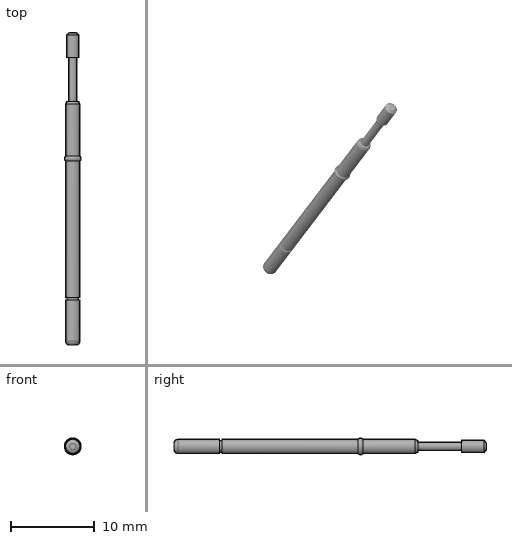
import cadquery as cq
import math

total_length = 37.3
tip_y = total_length / 2
tail_y = -total_length / 2

head_radius = 0.75
head_length = 3.0
tip_flat_radius = 0.4
tip_chamfer_length = 0.3
stem_diameter = 1.0
stem_radius = stem_diameter / 2
head_back_y = tip_y - head_length

barrel_radius = 0.85
mouth_radius = 0.7
mouth_taper_length = 0.35
plunger_length = 8.2
barrel_front_y = tip_y - plunger_length

ring_radius = 1.0
ring_width = 0.6
tip_to_ring = 15.05
ring_center_y = tip_y - tip_to_ring
ring_front_y = ring_center_y + ring_width / 2
ring_back_y = ring_center_y - ring_width / 2

groove_radius = 0.7
groove_width = 0.3
tip_to_groove = 31.6
groove_front_y = tip_y - tip_to_groove
groove_back_y = groove_front_y - groove_width
tail_round = 0.5
tail_round_center_y = tail_y + tail_round
tail_flat_radius = barrel_radius - tail_round
tail_arc_offset = tail_round * math.sqrt(0.5)

half_section = (
    cq.Workplane("YZ")
    .moveTo(tip_y, 0)
    .lineTo(tip_y, tip_flat_radius)
    .lineTo(tip_y - tip_chamfer_length, head_radius)
    .lineTo(head_back_y, head_radius)
    .lineTo(head_back_y, stem_radius)
    .lineTo(barrel_front_y, stem_radius)
    .lineTo(barrel_front_y, mouth_radius)
    .lineTo(barrel_front_y - mouth_taper_length, barrel_radius)
    .lineTo(ring_front_y, barrel_radius)
    .threePointArc((ring_center_y, ring_radius), (ring_back_y, barrel_radius))
    .lineTo(groove_front_y, barrel_radius)
    .lineTo(groove_front_y, groove_radius)
    .lineTo(groove_back_y, groove_radius)
    .lineTo(groove_back_y, barrel_radius)
    .lineTo(tail_round_center_y, barrel_radius)
    .threePointArc(
        (tail_round_center_y - tail_arc_offset, tail_flat_radius + tail_arc_offset),
        (tail_y, tail_flat_radius),
    )
    .lineTo(tail_y, 0)
    .close()
)

result = half_section.revolve(360, (0, 0, 0), (1, 0, 0))